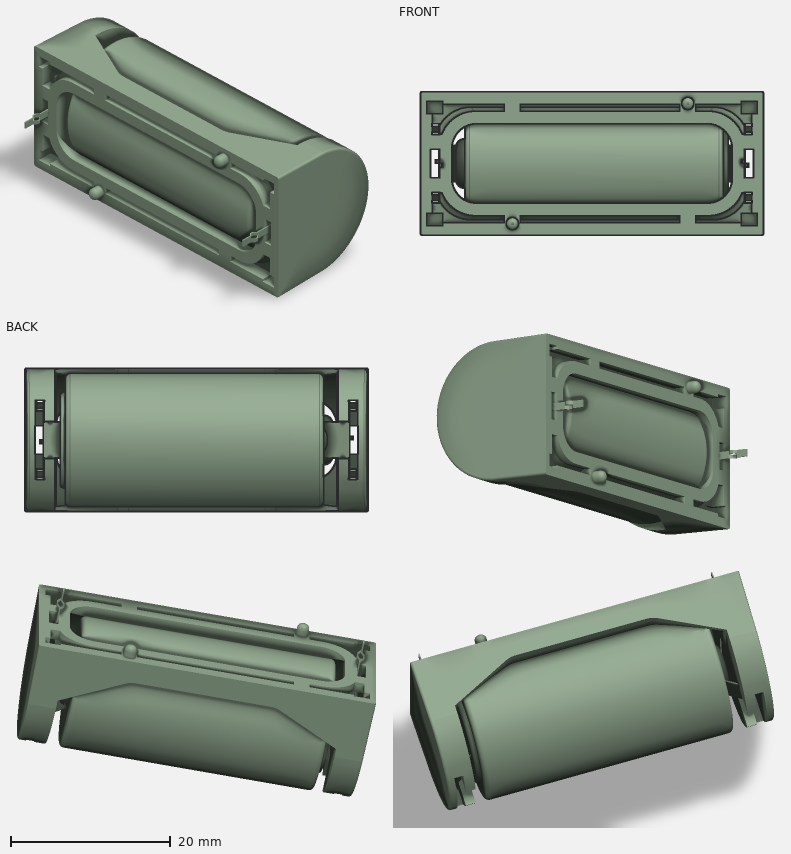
import cadquery as cq
import math


LENGTH = 43.0
HEIGHT = 18.0
DEPTH = 16.5
SHOULDER_Y = 8.25
DRAFT = math.radians(1.0)
END_EDGE_RADIUS = 0.3

BATTERY_RADIUS = 8.35
BATTERY_AXIS_Y = 8.3
BATTERY_HALF_LENGTH = 17.05
CAP_RADIUS = 3.1
CAP_LENGTH = 1.15
CAP_EDGE_RADIUS = 1.1
DISC_RADIUS = 6.0
DISC_LENGTH = 0.65
DISC_EDGE_RADIUS = 0.45
CAN_EDGE_RADIUS = 0.55
CAN_START_X = -BATTERY_HALF_LENGTH + CAP_LENGTH
CAN_END_X = BATTERY_HALF_LENGTH - DISC_LENGTH

BAY_CLEARANCE = 0.1
BAY_RADIUS = BATTERY_RADIUS + BAY_CLEARANCE
SIDE_OPENING_HALF_LENGTH = 17.75
SIDE_OPENING_Y = 2.9
SIDE_OPENING_TOP_Y = 7.15
SILL_FLAT_HALF_LENGTH = 9.3
SILL_BEND_RADIUS = 3.0

WINDOW_HALF_LENGTH = 17.55
WINDOW_HALF_HEIGHT = 5.0
WINDOW_CORNER_RADIUS = 3.15
RIM_WIDTH = 1.55

POCKET_HALF_LENGTH = 20.05
POCKET_HALF_HEIGHT = 7.45
POCKET_DEPTH = 1.7
RIM_CORNER_RADIUS = 4.45
RIM_FLARE = 0.5
POCKET_END_Z = 3.65
BRIDGE_WIDTH = 1.98
BRIDGE_CENTERS_X = (-9.98, 12.0)
CORNER_WELL_LENGTH = 1.98
CORNER_WELL_HEIGHT = 1.6
CORNER_WELL_X = 19.7
CORNER_WELL_Z = 7.0
CORNER_WELL_DEPTH = 2.15

SLOT_INNER_X = 19.05
SLOT_OUTER_X = 20.2
SLOT_HALF_WIDTH = 4.95
SLOT_FLOOR_Y = 1.3
TERMINAL_HOLE_HALF_WIDTH = 1.75
LEAF_NOTCH_HALF_WIDTH = 2.32
LEAF_NOTCH_FLOOR_Y = 11.2

PEG_RADIUS = 0.77
PEG_LENGTH = 1.55
PEG_ROOT = 0.45
PEG_TIP_RADIUS = 0.7
PEG_Z = 7.52

STRIP_THICKNESS = 0.17
PLATE_HALF_WIDTH = 4.8
PLATE_X = SLOT_INNER_X + STRIP_THICKNESS / 2
LEAF_START_Y = 13.07
LEAF_APEX_X = 16.0
LEAF_END_X = 17.4
LEAF_END_Y = 5.6
LEAF_HALF_WIDTH = 2.3
LEAF_SLOPE = math.tan(math.radians(32.0))
TERMINAL_HALF_WIDTH = 0.47
TERMINAL_TIP_Y = -4.0
KINK_OFFSET = 0.4
KINK_CENTER_Y = -1.98
KINK_HALF_LENGTH = 0.6
KINK_FLAT_HALF_LENGTH = 0.2
BARB_HALF_WIDTH = 0.4
BARB_Z = 4.3
BARB_BOTTOM_Y = 5.15
BARB_TOP_Y = 6.9
BARB_TIP_X = 20.1


def box_between(x_range, y_range, z_range):
    """Box spanning the given (low, high) ranges."""
    sizes = [high - low for low, high in (x_range, y_range, z_range)]
    low_corner = (x_range[0], y_range[0], z_range[0])
    return cq.Workplane("XY").box(*sizes, centered=False).translate(low_corner)


def side_range(side, near, far):
    """X range between two distances from the middle, on the given side (-1 or 1)."""
    return tuple(sorted((side * near, side * far)))


def rounded_bar(half_length, half_height, corner_radius, depth):
    """Rounded rectangle in the mounting face, extruded into the housing."""
    return (
        cq.Workplane("XZ")
        .rect(2 * half_length, 2 * half_height)
        .extrude(-depth)
        .edges("|Y")
        .fillet(corner_radius)
    )


def housing_block():
    """Solid D-shaped block with drafted side and end walls."""
    base_z = HEIGHT / 2
    shoulder_z = base_z - SHOULDER_Y * math.tan(DRAFT)
    block = (
        cq.Workplane("YZ")
        .moveTo(0, -base_z)
        .lineTo(SHOULDER_Y, -shoulder_z)
        .threePointArc((DEPTH, 0), (SHOULDER_Y, shoulder_z))
        .lineTo(0, base_z)
        .close()
        .extrude(LENGTH / 2, both=True)
    )
    base_x = LENGTH / 2
    top_x = base_x - DEPTH * math.tan(DRAFT)
    drafted_ends = (
        cq.Workplane("XY")
        .polyline([(-base_x, 0), (base_x, 0), (top_x, DEPTH), (-top_x, DEPTH)])
        .close()
        .extrude(HEIGHT, both=True)
    )
    block = block.intersect(drafted_ends)
    for end in ("<X", ">X"):
        block = block.faces(end).edges("not(<Y)").fillet(END_EDGE_RADIUS)
    return block


def battery_bay():
    """Round trough as long as the window, plus an opening through both sides and the top."""
    trough = (
        cq.Workplane("YZ", origin=(-WINDOW_HALF_LENGTH, BATTERY_AXIS_Y, 0))
        .circle(BAY_RADIUS)
        .extrude(2 * WINDOW_HALF_LENGTH)
    )
    side_opening = (
        cq.Workplane("XY")
        .polyline([
            (-SIDE_OPENING_HALF_LENGTH, DEPTH),
            (-SIDE_OPENING_HALF_LENGTH, SIDE_OPENING_TOP_Y),
            (-SILL_FLAT_HALF_LENGTH, SIDE_OPENING_Y),
            (SILL_FLAT_HALF_LENGTH, SIDE_OPENING_Y),
            (SIDE_OPENING_HALF_LENGTH, SIDE_OPENING_TOP_Y),
            (SIDE_OPENING_HALF_LENGTH, DEPTH),
        ])
        .close()
        .extrude(HEIGHT, both=True)
        .edges("|Z and <Y")
        .fillet(SILL_BEND_RADIUS)
    )
    return trough.union(side_opening)


def window():
    """Rounded window through the mounting face into the bay."""
    return rounded_bar(WINDOW_HALF_LENGTH, WINDOW_HALF_HEIGHT, WINDOW_CORNER_RADIUS, BATTERY_AXIS_Y)


def rim_outline(growth):
    """Outer outline of the window rim, moved outward on all four sides."""
    half_length = WINDOW_HALF_LENGTH + RIM_WIDTH + growth
    half_height = WINDOW_HALF_HEIGHT + RIM_WIDTH + growth
    return cq.Sketch().rect(2 * half_length, 2 * half_height).vertices().fillet(RIM_CORNER_RADIUS)


def window_rim():
    """Straight rim around the window that flares out toward the pocket floor."""
    straight_depth = POCKET_DEPTH - RIM_FLARE
    straight = cq.Workplane("XZ").placeSketch(rim_outline(0)).extrude(-straight_depth)
    flare = (
        cq.Workplane("XZ", origin=(0, straight_depth, 0))
        .placeSketch(rim_outline(0), rim_outline(RIM_FLARE).moved(cq.Location((0, 0, -RIM_FLARE))))
        .loft()
    )
    return straight.union(flare)


def relief_pocket():
    """Pocket around the window rim, interrupted by the bridges and the end webs."""
    pocket = box_between(
        (-POCKET_HALF_LENGTH, POCKET_HALF_LENGTH),
        (0, POCKET_DEPTH),
        (-POCKET_HALF_HEIGHT, POCKET_HALF_HEIGHT),
    )
    pocket = pocket.cut(window_rim())
    for x in BRIDGE_CENTERS_X:
        bridge_x = (x - BRIDGE_WIDTH / 2, x + BRIDGE_WIDTH / 2)
        pocket = pocket.cut(box_between(bridge_x, (0, POCKET_DEPTH), (-HEIGHT, HEIGHT)))
    end_webs = box_between((-LENGTH, LENGTH), (0, POCKET_DEPTH), (-POCKET_END_Z, POCKET_END_Z))
    return pocket.cut(end_webs)


def corner_wells():
    """Deeper rectangular wells at the four corners of the relief pocket."""
    corners = [(i * CORNER_WELL_X, j * CORNER_WELL_Z) for i in (-1, 1) for j in (-1, 1)]
    return (
        cq.Workplane("XZ")
        .pushPoints(corners)
        .rect(CORNER_WELL_LENGTH, CORNER_WELL_HEIGHT)
        .extrude(-CORNER_WELL_DEPTH)
    )


def contact_slot(side):
    """Slot in one end cap for a contact, with its terminal hole and leaf notch."""
    slot_x = side_range(side, SLOT_INNER_X, SLOT_OUTER_X)
    notch_x = side_range(side, WINDOW_HALF_LENGTH, SLOT_INNER_X)
    slot = box_between(slot_x, (SLOT_FLOOR_Y, DEPTH), (-SLOT_HALF_WIDTH, SLOT_HALF_WIDTH))
    hole = box_between(slot_x, (0, SLOT_FLOOR_Y), (-TERMINAL_HOLE_HALF_WIDTH, TERMINAL_HOLE_HALF_WIDTH))
    notch = box_between(
        notch_x,
        (LEAF_NOTCH_FLOOR_Y, DEPTH),
        (-LEAF_NOTCH_HALF_WIDTH, LEAF_NOTCH_HALF_WIDTH),
    )
    return slot.union(hole).union(notch)


def locating_pegs():
    """Round-tipped pegs below the bridges, at opposite corners."""
    spots = [(BRIDGE_CENTERS_X[0], -PEG_Z), (BRIDGE_CENTERS_X[1], PEG_Z)]
    return (
        cq.Workplane("XZ", origin=(0, PEG_ROOT, 0))
        .pushPoints(spots)
        .circle(PEG_RADIUS)
        .extrude(PEG_LENGTH + PEG_ROOT)
        .faces("<Y")
        .edges()
        .fillet(PEG_TIP_RADIUS)
    )


def make_housing():
    """Holder body with its bay, window, pockets, contact slots and pegs."""
    housing = housing_block().cut(battery_bay()).cut(window())
    housing = housing.cut(relief_pocket()).cut(corner_wells())
    for side in (-1, 1):
        housing = housing.cut(contact_slot(side))
    return housing.union(locating_pegs())


def battery_cylinder(start_x, end_x, radius):
    """Cylinder on the battery axis."""
    return (
        cq.Workplane("YZ", origin=(start_x, BATTERY_AXIS_Y, 0))
        .circle(radius)
        .extrude(end_x - start_x)
    )


def make_battery():
    """Can with a domed cap at its -X end and a flat disc at its +X end."""
    can = battery_cylinder(CAN_START_X, CAN_END_X, BATTERY_RADIUS).edges().fillet(CAN_EDGE_RADIUS)
    cap = battery_cylinder(-BATTERY_HALF_LENGTH, 0, CAP_RADIUS)
    cap = cap.faces("<X").edges().fillet(CAP_EDGE_RADIUS)
    disc = battery_cylinder(0, BATTERY_HALF_LENGTH, DISC_RADIUS)
    disc = disc.faces(">X").edges().fillet(DISC_EDGE_RADIUS)
    return can.union(cap).union(disc)


def strip(center_points, z_range):
    """Bent metal strip following the given XY points, upright pieces one thickness wide."""
    half = STRIP_THICKNESS / 2
    left_edge = [(x - half, y) for x, y in center_points]
    right_edge = [(x + half, y) for x, y in reversed(center_points)]
    return (
        cq.Workplane("XY", origin=(0, 0, z_range[0]))
        .polyline(left_edge + right_edge)
        .close()
        .extrude(z_range[1] - z_range[0])
    )


def kinked_terminal(x, direction, z_range):
    """Half of a terminal, bent sideways around the kink."""
    kink_x = x + direction * KINK_OFFSET
    return strip(
        [
            (x, SLOT_FLOOR_Y),
            (x, KINK_CENTER_Y + KINK_HALF_LENGTH),
            (kink_x, KINK_CENTER_Y + KINK_FLAT_HALF_LENGTH),
            (kink_x, KINK_CENTER_Y - KINK_FLAT_HALF_LENGTH),
            (x, KINK_CENTER_Y - KINK_HALF_LENGTH),
            (x, TERMINAL_TIP_Y),
        ],
        z_range,
    )


def spring_leaf(side):
    """V-shaped leaf: slopes down from the plate's top to its apex, then back toward the end cap."""
    thickness_y = STRIP_THICKNESS * math.hypot(1, LEAF_SLOPE)
    root_x = PLATE_X + STRIP_THICKNESS / 2
    apex_y = LEAF_START_Y - LEAF_SLOPE * (root_x - LEAF_APEX_X)
    pressing_leg = (
        cq.Workplane("XY", origin=(0, 0, -LEAF_HALF_WIDTH))
        .polyline([
            (side * root_x, LEAF_START_Y),
            (side * LEAF_APEX_X, apex_y),
            (side * LEAF_APEX_X, apex_y - thickness_y),
            (side * root_x, LEAF_START_Y - thickness_y),
        ])
        .close()
        .extrude(2 * LEAF_HALF_WIDTH)
    )
    return_path = [
        (side * (LEAF_APEX_X + STRIP_THICKNESS / 2), apex_y),
        (side * LEAF_END_X, LEAF_END_Y),
    ]
    return pressing_leg.union(strip(return_path, (-LEAF_HALF_WIDTH, LEAF_HALF_WIDTH)))


def make_contact(side):
    """Contact in the end cap on the given side (-1 or 1)."""
    x = side * PLATE_X
    plate_top_y = LEAF_START_Y - STRIP_THICKNESS
    contact = strip([(x, SLOT_FLOOR_Y), (x, plate_top_y)], (-PLATE_HALF_WIDTH, PLATE_HALF_WIDTH))
    contact = contact.union(spring_leaf(side))
    contact = contact.union(kinked_terminal(x, -1, (0, TERMINAL_HALF_WIDTH)))
    contact = contact.union(kinked_terminal(x, 1, (-TERMINAL_HALF_WIDTH, 0)))
    for z in (-BARB_Z, BARB_Z):
        barb_path = [(x, BARB_BOTTOM_Y), (side * BARB_TIP_X, BARB_TOP_Y)]
        contact = contact.union(strip(barb_path, (z - BARB_HALF_WIDTH, z + BARB_HALF_WIDTH)))
    return contact


housing = make_housing()
contacts = [make_contact(side) for side in (-1, 1)]

battery = make_battery()
for contact in contacts:
    battery = battery.cut(contact)

result = cq.Compound.makeCompound([
    housing.val(),
    battery.val(),
    *[contact.val() for contact in contacts],
])